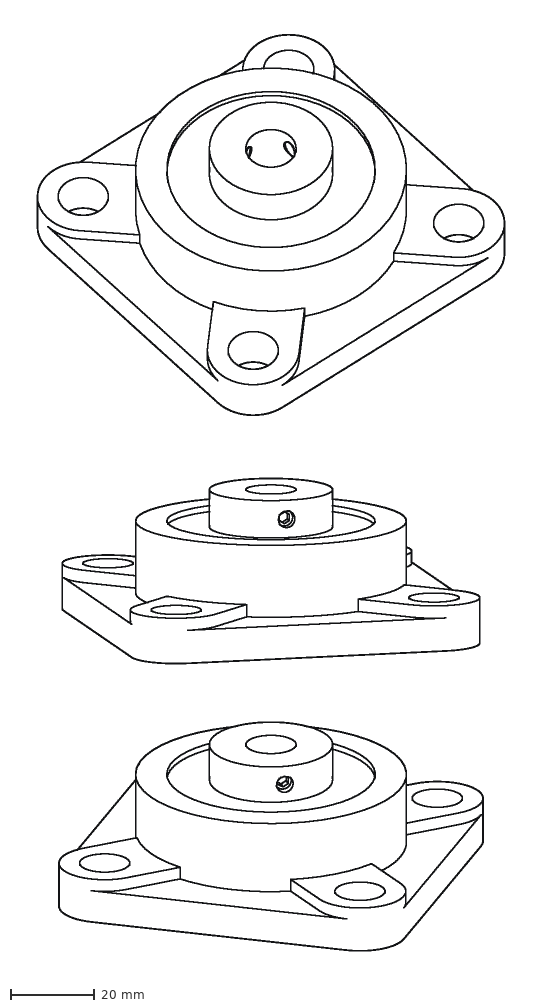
import cadquery as cq
import math

flange_width = 86
corner_radius = 11.0
plate_height = 8.1
pad_height = 11.1
bolt_hole_diameter = 12
bolt_offset = flange_width / 2 - corner_radius

housing_diameter = 65.0
housing_height = 25.6
recess_diameter = 50.0
recess_depth = 1.5

ring_diameter = 29.6
ring_height = 33.3
bore_diameter = 12

screw_angles = (90, 210)
screw_diameter = 4.0
screw_center_height = 28.6
screw_head_radius = 12.6
socket_width = 2.5
socket_depth = 2.0
point_clearance = 0.1


def cylinder(diameter, height):
    """Upright cylinder standing on the bottom plane."""
    return cq.Workplane("XY").circle(diameter / 2).extrude(height)


def flange_plate():
    """Square plate; its cut-off corners end inside the round pads."""
    plate = cq.Workplane("XY").rect(flange_width, flange_width).extrude(plate_height)
    return plate.edges("|Z").chamfer(corner_radius)


def diagonal_pads():
    """Two crossed bars with round ends that raise the four bolt corners."""
    pad_width = 2 * corner_radius
    bolt_diagonal = math.hypot(2 * bolt_offset, 2 * bolt_offset)
    bar_length = bolt_diagonal + pad_width
    bars = cq.Workplane("XY")
    for angle in (45, 135):
        bar = cq.Workplane("XY").slot2D(bar_length, pad_width, angle).extrude(pad_height)
        bars = bars.add(bar)
    return bars.combine()


def screw_cut(angle):
    """Material missing around one set screw: outer hole, hexagon socket and inner hole."""
    screw_axis = cq.Workplane("YZ", origin=(0, 0, screw_center_height))
    screw_head = screw_axis.workplane(offset=screw_head_radius)

    outer_hole = screw_head.circle(screw_diameter / 2).extrude(ring_diameter / 2 - screw_head_radius)
    socket = screw_head.polygon(6, socket_width, circumscribed=True).extrude(-socket_depth)
    inner_hole = screw_axis.circle(screw_diameter / 2).extrude(bore_diameter / 2 + point_clearance)

    cut = outer_hole.union(socket).union(inner_hole)
    return cut.rotate((0, 0, 0), (0, 0, 1), angle)


body = flange_plate().union(diagonal_pads()).union(cylinder(housing_diameter, housing_height))

recess_floor = housing_height - recess_depth
recess = cylinder(recess_diameter, recess_depth).translate((0, 0, recess_floor))
body = body.cut(recess).union(cylinder(ring_diameter, ring_height))

body = body.cut(cylinder(bore_diameter, ring_height))
for screw_angle in screw_angles:
    body = body.cut(screw_cut(screw_angle))

bolt_holes = (
    cq.Workplane("XY")
    .rect(2 * bolt_offset, 2 * bolt_offset, forConstruction=True)
    .vertices()
    .circle(bolt_hole_diameter / 2)
    .extrude(pad_height)
)
result = body.cut(bolt_holes)